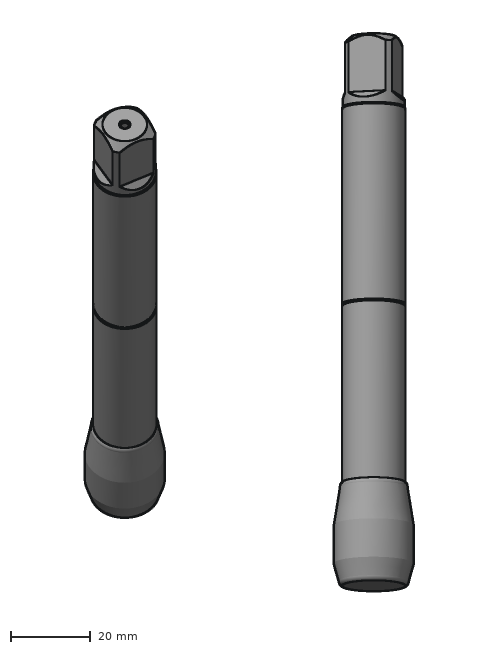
import cadquery as cq
import math

total_length = 140.0
shaft_diameter = 16.0
neck_diameter = 15.7
square_width = 12.3
square_bottom_z = 125.2
neck_bottom_z = 122.1
neck_step_height = 0.4
top_face_diameter = 11.2
top_chamfer_height = 2.0

groove_diameter = 15.4
groove_width = 0.4
groove_z = 71.7

center_hole_diameter = 2.0
center_hole_depth = 2.8
countersink_diameter = 2.8
drill_tip_angle = 118.0

sleeve_diameter = 20.2
sleeve_top_z = 26.3
sleeve_shoulder_z = 25.0
sleeve_shoulder_diameter = 17.1
barrel_top_z = 15.4
barrel_bottom_z = 5.6
sleeve_nose_z = 1.1
sleeve_nose_diameter = 17.6
end_rounding_bulge = 0.1


def make_round_bar():
    """Revolve the stepped bar: full diameter, neck and conical top chamfer."""
    shaft_radius = shaft_diameter / 2
    neck_radius = neck_diameter / 2
    return (
        cq.Workplane("XZ")
        .lineTo(shaft_radius, 0)
        .lineTo(shaft_radius, neck_bottom_z - neck_step_height)
        .lineTo(neck_radius, neck_bottom_z)
        .lineTo(neck_radius, total_length - top_chamfer_height)
        .lineTo(top_face_diameter / 2, total_length)
        .lineTo(0, total_length)
        .close()
        .revolve(360, (0, 0, 0), (0, 1, 0))
    )


def make_flat_cutter():
    """Ring-shaped cutter that leaves a square with 45 degree plane run-outs at its foot."""
    runout = (shaft_diameter - square_width) / 2
    square_height = total_length - square_bottom_z
    foot = cq.Workplane("XY").workplane(offset=square_bottom_z - runout)
    blank = foot.circle(shaft_diameter).extrude(square_height + runout)
    square = foot.rect(square_width, square_width).extrude(square_height + runout)
    runout_pyramid = (
        foot.rect(shaft_diameter, shaft_diameter)
        .workplane(offset=runout)
        .rect(square_width, square_width)
        .loft()
    )
    return blank.cut(square).cut(runout_pyramid)


def make_groove_cutter():
    groove = cq.Workplane("XY").workplane(offset=groove_z - groove_width / 2)
    return groove.circle(shaft_diameter).circle(groove_diameter / 2).extrude(groove_width)


def make_center_hole():
    """Countersunk blind hole with a conical drill tip."""
    hole_radius = center_hole_diameter / 2
    countersink_radius = countersink_diameter / 2
    countersink_depth = countersink_radius - hole_radius
    hole_bottom_z = total_length - center_hole_depth
    tip_depth = hole_radius / math.tan(math.radians(drill_tip_angle / 2))
    return (
        cq.Workplane("XZ")
        .moveTo(0, total_length)
        .lineTo(countersink_radius, total_length)
        .lineTo(hole_radius, total_length - countersink_depth)
        .lineTo(hole_radius, hole_bottom_z)
        .lineTo(0, hole_bottom_z - tip_depth)
        .close()
        .revolve(360, (0, 0, 0), (0, 1, 0))
    )


def make_shaft():
    shaft = make_round_bar().cut(make_flat_cutter())
    return shaft.cut(make_groove_cutter()).cut(make_center_hole())


def make_sleeve():
    """Revolve the barrel-shaped sleeve; its bore matches the shaft."""
    bore_radius = shaft_diameter / 2
    barrel_radius = sleeve_diameter / 2
    shoulder_radius = sleeve_shoulder_diameter / 2
    nose_radius = sleeve_nose_diameter / 2
    shoulder_arc_middle = (
        (bore_radius + shoulder_radius) / 2 + end_rounding_bulge,
        (sleeve_top_z + sleeve_shoulder_z) / 2 + end_rounding_bulge,
    )
    nose_arc_middle = (
        (bore_radius + nose_radius) / 2 + end_rounding_bulge,
        sleeve_nose_z / 2 - end_rounding_bulge,
    )
    return (
        cq.Workplane("XZ")
        .moveTo(shoulder_radius, sleeve_shoulder_z)
        .lineTo(barrel_radius, barrel_top_z)
        .lineTo(barrel_radius, barrel_bottom_z)
        .lineTo(nose_radius, sleeve_nose_z)
        .threePointArc(nose_arc_middle, (bore_radius, 0))
        .lineTo(bore_radius, sleeve_top_z)
        .threePointArc(shoulder_arc_middle, (shoulder_radius, sleeve_shoulder_z))
        .close()
        .revolve(360, (0, 0, 0), (0, 1, 0))
    )


shaft = make_shaft()
sleeve = make_sleeve()
result = cq.Compound.makeCompound([shaft.val(), sleeve.val()])